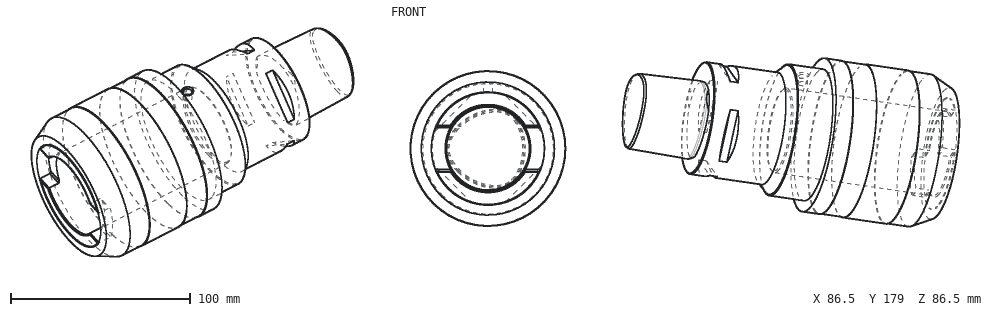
import cadquery as cq
import math

LENGTH = 179.0

HEAD_DIAMETER = 86.5
HEAD_RADIUS = HEAD_DIAMETER / 2
HEAD_STEP = 0.27
NOSE_RADIUS = 37.0
NOSE_LENGTH = 12.0
GRIP_BAND_START = 24.9
GRIP_BAND_END = 50.1
REAR_BAND_START = 63.5
HEAD_END = 73.7
STEP_BEVEL = 0.4

NECK_RADIUS = NOSE_RADIUS
NECK_END = 93.8
NECK_BEVEL_LENGTH = 0.4
NECK_BEVEL_RADIUS = 36.3
BODY_DIAMETER = 63.2
BODY_RADIUS = BODY_DIAMETER / 2
BODY_START = 99.3
BODY_END = 141.2
BODY_CHAMFER = 0.5

BORE_RADIUS = 23.8
BORE_DEPTH = NECK_END
BORE_CHAMFER = 0.7
SLEEVE_RADIUS = 31.5
SLEEVE_GAP = 0.4

SLOT_HALF_WIDTH = 12.5
SLOT_DEPTH = 7.9
SLOT_MOUTH_CHAMFER = 0.5
SLOT_FLOOR_CHAMFER = 0.9

SCREW_Y = 80.0
SCREW_RADIUS = 2.5
SCREW_CHAMFER = 0.9
SCREW_DEPTH = 5.4

NOTCH_Y = 129.0
NOTCH_FLOOR_DISTANCE = 27.7
NOTCH_FLOOR_WIDTH = 4.5
NOTCH_RIM_WIDTH = 7.7
NOTCH_ANGLES = (45, 135, 225, 315)

SHANK_MEAN_RADIUS = 22.0
SHANK_LOBE = 1.35
OUTLINE_POINTS = 48
SHANK_TAPER_START = 144.1
SHANK_TAPER = 1 / 40
TIP_CHAMFER_LENGTH = 1.3
TIP_CHAMFER_INSET = 0.7
ROOT_INSET = 0.2
UNDERCUT_START = 143.0
UNDERCUT_RADIUS = 22.4


def turned(profile):
    """Revolve a closed (radius, Y) profile about the Y axis."""
    return cq.Workplane("XY").polyline(profile).close().revolve(360, (0, 0, 0), (0, 1, 0))


def cylinder(radius, start, end):
    return turned([(0, start), (radius, start), (radius, end), (0, end)])


def ring(inner, outer, start, end):
    return turned([(inner, start), (outer, start), (outer, end), (inner, end)])


def make_body():
    band_radius = HEAD_RADIUS - HEAD_STEP
    return turned([
        (0, 0),
        (NOSE_RADIUS, 0),
        (band_radius, NOSE_LENGTH),
        (band_radius, GRIP_BAND_START),
        (HEAD_RADIUS, GRIP_BAND_START + STEP_BEVEL),
        (HEAD_RADIUS, GRIP_BAND_END),
        (band_radius, GRIP_BAND_END),
        (band_radius, REAR_BAND_START),
        (HEAD_RADIUS, REAR_BAND_START + STEP_BEVEL),
        (HEAD_RADIUS, HEAD_END),
        (NECK_RADIUS, HEAD_END),
        (NECK_RADIUS, NECK_END),
        (NECK_BEVEL_RADIUS, NECK_END + NECK_BEVEL_LENGTH),
        (BODY_RADIUS, BODY_START),
        (BODY_RADIUS, BODY_END - BODY_CHAMFER),
        (BODY_RADIUS - BODY_CHAMFER, BODY_END),
        (0, BODY_END),
    ])


def lobed_wire(mean_radius, y):
    """Constant-width three-lobed outline at height y, with one lobe toward -X."""
    points = []
    for i in range(OUTLINE_POINTS):
        angle = 2 * math.pi * i / OUTLINE_POINTS
        support = mean_radius + SHANK_LOBE * math.cos(3 * angle)
        slope = -3 * SHANK_LOBE * math.sin(3 * angle)
        x = support * math.cos(angle) - slope * math.sin(angle)
        z = support * math.sin(angle) + slope * math.cos(angle)
        points.append(cq.Vector(-x, y, z))
    return cq.Wire.assembleEdges([cq.Edge.makeSpline(points, periodic=True)])


def make_shank():
    taper_end = LENGTH - TIP_CHAMFER_LENGTH
    end_radius = SHANK_MEAN_RADIUS - SHANK_TAPER * (taper_end - SHANK_TAPER_START)
    sections = [
        (SHANK_MEAN_RADIUS - ROOT_INSET, BODY_END),
        (SHANK_MEAN_RADIUS, UNDERCUT_START),
        (SHANK_MEAN_RADIUS, SHANK_TAPER_START),
        (end_radius, taper_end),
        (end_radius - TIP_CHAMFER_INSET, LENGTH),
    ]
    wires = [lobed_wire(radius, y) for radius, y in sections]
    shank = cq.Workplane(cq.Solid.makeLoft(wires, True))
    lobe_radius = SHANK_MEAN_RADIUS + SHANK_LOBE
    undercut = turned([
        (UNDERCUT_RADIUS, BODY_END),
        (lobe_radius, UNDERCUT_START),
        (BODY_RADIUS, UNDERCUT_START),
        (BODY_RADIUS, BODY_END),
    ])
    return shank.cut(undercut)


def make_bore():
    return turned([
        (0, 0),
        (BORE_RADIUS + BORE_CHAMFER, 0),
        (BORE_RADIUS, BORE_CHAMFER),
        (BORE_RADIUS, BORE_DEPTH - BORE_CHAMFER),
        (BORE_RADIUS - BORE_CHAMFER, BORE_DEPTH),
        (0, BORE_DEPTH),
    ])


def make_cross_slot():
    """Slot along X, chamfered at its mouth and floor, limited to the sleeve radius."""
    w = SLOT_HALF_WIDTH
    mouth = SLOT_MOUTH_CHAMFER
    floor = SLOT_FLOOR_CHAMFER
    half_profile = [
        (0, w + mouth),
        (mouth, w),
        (SLOT_DEPTH - floor, w),
        (SLOT_DEPTH, w - floor),
    ]
    mirrored = [(y, -z) for y, z in reversed(half_profile)]
    slot = (
        cq.Workplane("YZ")
        .polyline(half_profile + mirrored)
        .close()
        .extrude(SLEEVE_RADIUS, both=True)
    )
    return slot.intersect(cylinder(SLEEVE_RADIUS, 0, SLOT_DEPTH))


def make_screw_hole():
    rim = SCREW_RADIUS + SCREW_CHAMFER
    floor = NECK_RADIUS - SCREW_DEPTH
    profile = [
        (0, floor),
        (SCREW_RADIUS, floor),
        (SCREW_RADIUS, NECK_RADIUS - SCREW_CHAMFER),
        (rim, NECK_RADIUS),
        (0, NECK_RADIUS),
    ]
    hole = cq.Workplane("XZ").polyline(profile).close().revolve(360, (0, 0, 0), (0, 1, 0))
    return hole.translate((0, SCREW_Y, 0))


def make_notch(angle):
    """Trapezoidal notch across the flange body, facing the given angle about Y."""
    half_floor = NOTCH_FLOOR_WIDTH / 2
    half_rim = NOTCH_RIM_WIDTH / 2
    notch = (
        cq.Workplane("XY")
        .polyline([
            (NOTCH_FLOOR_DISTANCE, NOTCH_Y - half_floor),
            (BODY_RADIUS, NOTCH_Y - half_rim),
            (BODY_RADIUS, NOTCH_Y + half_rim),
            (NOTCH_FLOOR_DISTANCE, NOTCH_Y + half_floor),
        ])
        .close()
        .extrude(BODY_RADIUS, both=True)
    )
    return notch.rotate((0, 0, 0), (0, 1, 0), angle)


result = make_body().union(make_shank())
result = result.cut(make_bore())
result = result.cut(ring(SLEEVE_RADIUS - SLEEVE_GAP, SLEEVE_RADIUS, 0, SLEEVE_GAP))
result = result.cut(make_cross_slot())
result = result.cut(make_screw_hole())
for notch_angle in NOTCH_ANGLES:
    result = result.cut(make_notch(notch_angle))